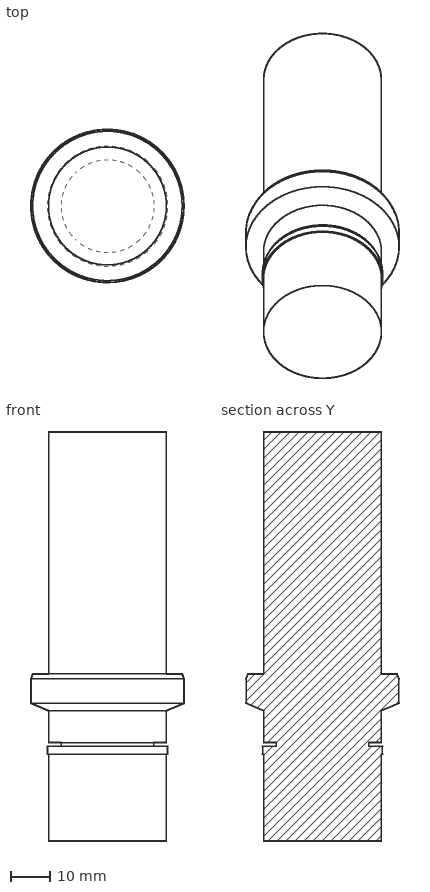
import cadquery as cq
import math

shaft_diameter = 30.0
collar_diameter = 39.0
ring_diameter = 30.6
groove_diameter = 23.6

total_height = 104.0
ring_bottom = 22.0
groove_bottom = 24.1
groove_top = 25.0
collar_full_bottom = 35.0
collar_top = 42.5

underside_angle = 23.0
bevel_width = 0.5
bevel_height = 1.25

shaft_radius = shaft_diameter / 2
collar_radius = collar_diameter / 2
underside_height = (collar_radius - shaft_radius) * math.tan(math.radians(underside_angle))


def cylinder(diameter, bottom, top):
    """Solid cylinder on the Z axis between two heights."""
    return cq.Workplane("XY").workplane(offset=bottom).circle(diameter / 2).extrude(top - bottom)


def make_collar():
    """Collar with a conical underside and a bevelled top edge, turned about Z."""
    underside_start = collar_full_bottom - underside_height
    outline = [
        (0, underside_start),
        (shaft_radius, underside_start),
        (collar_radius, collar_full_bottom),
        (collar_radius, collar_top - bevel_height),
        (collar_radius - bevel_width, collar_top),
        (0, collar_top),
    ]
    return cq.Workplane("XZ").polyline(outline).close().revolve(360, (0, 0, 0), (0, 1, 0))


def make_groove_cutter():
    """Square-sided ring of material removed just above the raised ring."""
    outer = cylinder(collar_diameter, groove_bottom, groove_top)
    return outer.cut(cylinder(groove_diameter, groove_bottom, groove_top))


shaft = cylinder(shaft_diameter, 0, total_height)
raised_ring = cylinder(ring_diameter, ring_bottom, groove_bottom)

result = shaft.union(make_collar()).union(raised_ring).cut(make_groove_cutter())